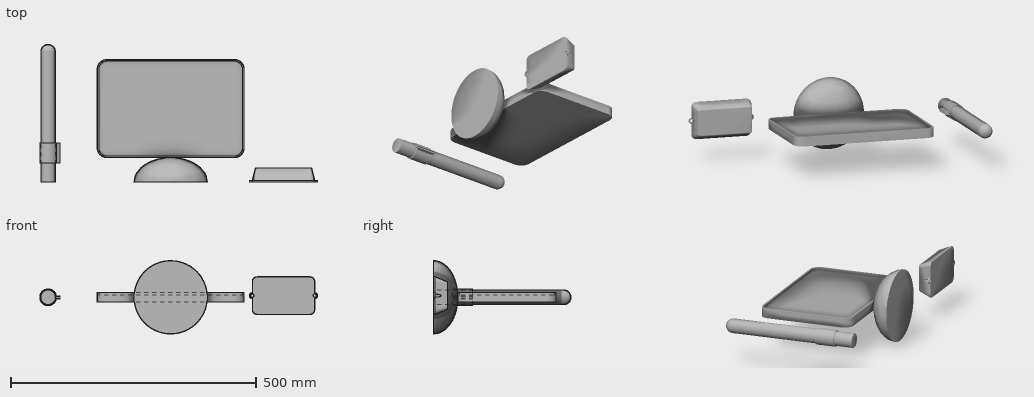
import cadquery as cq

dome_radius = 75.0
dome_height = 50.0

tray_width = 300.0
tray_depth = 200.0
tray_thickness = 20.0
tray_corner_radius = 20.0
tray_wall = 3.5
recess_depth = 5.0
tray_center_y = dome_height + tray_depth / 2

rod_x = -250.0
rod_radius = 15.05
rod_length = 281.0

clip_wall = 2.0
clip_radius = rod_radius + clip_wall
clip_start = 38.5
clip_end = 80.0
clip_length = clip_end - clip_start
tab_reach = 24.5
slot_width = 2.0
tab_span = slot_width + 2 * clip_wall

overall_width = 567
case_x = 230.0
case_z = 3.5
lid_width = 127.5
lid_height = 77.0
lid_thickness = 3.5
case_corner_radius = 10.0
ear_radius = overall_width - (case_x - rod_x) - clip_radius - lid_width / 2
ear_hole_diameter = 6.0
box_depth = 25.5
back_width = 114.5
back_height = 55.5
back_corner_radius = 4.5
box_edge_radius = 3.0


def y_cylinder(radius, start, length, x=0, z=0):
    """Cylinder along +Y that begins at Y = start."""
    return (
        cq.Workplane("XZ", origin=(x, start, z))
        .circle(radius)
        .extrude(-length)
    )


def make_dome():
    """Hemisphere on the +Y side, squashed along Y to the dome height."""
    hemisphere = cq.Workplane("XY").sphere(dome_radius, direct=(0, 1, 0), angle1=0, angle2=90)
    squash = cq.Matrix([
        [1, 0, 0, 0],
        [0, dome_height / dome_radius, 0, 0],
        [0, 0, 1, 0],
    ])
    return cq.Workplane(hemisphere.val().transformGeometry(squash))


def make_tray():
    slab = (
        cq.Workplane("XY")
        .box(tray_width, tray_depth, tray_thickness)
        .edges("|Z")
        .fillet(tray_corner_radius)
    )
    recess = (
        cq.Workplane("XY", origin=(0, 0, tray_thickness / 2 - recess_depth))
        .rect(tray_width - 2 * tray_wall, tray_depth - 2 * tray_wall)
        .extrude(recess_depth)
        .edges("|Z")
        .fillet(tray_corner_radius - tray_wall)
    )
    return slab.cut(recess).translate((0, tray_center_y, 0))


def make_rod():
    shoulder = rod_length - rod_radius
    bar = y_cylinder(rod_radius, 0, shoulder)
    tip = cq.Workplane("XY", origin=(0, shoulder, 0)).sphere(rod_radius)
    return bar.union(tip).translate((rod_x, 0, 0))


def make_clip():
    ring = y_cylinder(clip_radius, clip_start, clip_length)
    tabs = cq.Workplane("XY").box(tab_reach, clip_length, tab_span, centered=(False, False, True))
    slot = cq.Workplane("XY").box(tab_reach, clip_length, slot_width, centered=(False, False, True))
    bore = y_cylinder(rod_radius, clip_start, clip_length)
    clip = ring.union(tabs.translate((0, clip_start, 0))).cut(bore)
    clip = clip.cut(slot.translate((0, clip_start, 0)))
    return clip.translate((rod_x, 0, 0))


def make_ear_holes():
    """Screw holes centered on the two short sides of the lid."""
    return (
        cq.Workplane("XZ")
        .pushPoints([(-lid_width / 2, 0), (lid_width / 2, 0)])
        .circle(ear_hole_diameter / 2)
        .extrude(-(lid_thickness + box_depth))
    )


def make_lid():
    plate = (
        cq.Workplane("XZ")
        .rect(lid_width, lid_height)
        .extrude(-lid_thickness)
        .edges("|Y")
        .fillet(case_corner_radius)
    )
    for side in (-1, 1):
        plate = plate.union(y_cylinder(ear_radius, 0, lid_thickness, x=side * lid_width / 2))
    return plate.cut(make_ear_holes()).translate((case_x, 0, case_z))


def make_box():
    """Loft from the lid outline to a smaller back face, with its back edge rounded."""
    base = cq.Sketch().rect(lid_width, lid_height).vertices().fillet(case_corner_radius)
    back = cq.Sketch().rect(back_width, back_height).vertices().fillet(back_corner_radius)
    box = (
        cq.Workplane("XZ", origin=(0, lid_thickness, 0))
        .placeSketch(base, back.moved(cq.Location(cq.Vector(0, 0, -box_depth))))
        .loft(ruled=True)
        .faces(">Y")
        .edges()
        .fillet(box_edge_radius)
    )
    return box.cut(make_ear_holes()).translate((case_x, 0, case_z))


dome = make_dome()
tray = make_tray()
rod = make_rod()
clip = make_clip()
lid = make_lid()
box = make_box()

result = cq.Compound.makeCompound(
    [dome.val(), tray.val(), rod.val(), clip.val(), lid.val(), box.val()]
)